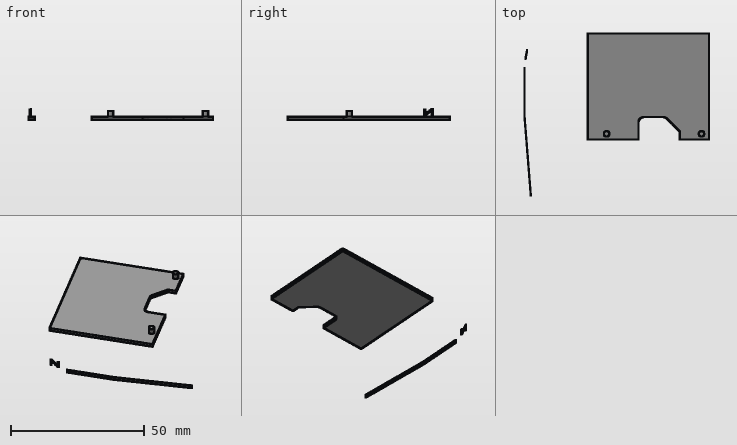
import cadquery as cq
import math

plate_left = 23.7
plate_right = 69.2
plate_front = 20.9
plate_back = 60.75
plate_thickness = 1.25

notch_left = plate_left + 19.1
notch_right = plate_left + 34.5
notch_back = plate_front + 8.45
notch_slope_rise = 5.4
notch_radius = 2.0

peg_diameter = 2.1
peg_height = 2.15
peg_inset_left = 7.1
peg_inset_right = 2.85
peg_inset_front = 2.2

strip_thickness = 0.1
strip_back = 47.75
strip_bend = 29.55
strip_front_offset = 2.4

letter_near_x = 0.4
letter_far_x = 1.05
letter_near_y = 51.1
letter_far_y = 54.45
letter_bottom = 1.65
letter_near_top = 3.9
letter_far_top = 4.1
letter_stroke = 0.5
letter_diagonal_height = 0.5
letter_thickness = 0.1


def make_plate():
    """Plate with a front notch and two pegs, all one solid."""
    corner = notch_radius * (1 - math.sqrt(0.5))
    slope_x = notch_right - notch_slope_rise + corner
    arc_start_x = slope_x - notch_radius * math.sqrt(0.5)
    arc_middle_angle = math.radians(45) / 2
    arc_middle = (
        arc_start_x + notch_radius * math.sin(arc_middle_angle),
        notch_back - notch_radius * (1 - math.cos(arc_middle_angle)),
    )
    plate = (
        cq.Workplane("XY")
        .moveTo(plate_left, plate_front)
        .lineTo(notch_left, plate_front)
        .lineTo(notch_left, notch_back - notch_radius)
        .threePointArc(
            (notch_left + corner, notch_back - corner),
            (notch_left + notch_radius, notch_back),
        )
        .lineTo(arc_start_x, notch_back)
        .threePointArc(arc_middle, (slope_x, notch_back - corner))
        .lineTo(notch_right, notch_back - notch_slope_rise)
        .lineTo(notch_right, plate_front)
        .lineTo(plate_right, plate_front)
        .lineTo(plate_right, plate_back)
        .lineTo(plate_left, plate_back)
        .close()
        .extrude(plate_thickness)
    )
    peg_y = plate_front + peg_inset_front
    pegs = (
        cq.Workplane("XY")
        .pushPoints([(plate_left + peg_inset_left, peg_y), (plate_right - peg_inset_right, peg_y)])
        .circle(peg_diameter / 2)
        .extrude(plate_thickness + peg_height)
    )
    return plate.union(pegs)


def make_strip():
    """Thin upright strip: straight at the back, bent toward +X at the front."""
    return (
        cq.Workplane("XY")
        .moveTo(0, strip_back)
        .lineTo(0, strip_bend)
        .lineTo(strip_front_offset - strip_thickness, 0)
        .lineTo(strip_front_offset, 0)
        .lineTo(strip_thickness, strip_bend)
        .lineTo(strip_thickness, strip_back)
        .close()
        .extrude(plate_thickness)
    )


def make_letter():
    """Upright N, with its face turned slightly away from the YZ plane."""
    run_x = letter_far_x - letter_near_x
    run_y = letter_far_y - letter_near_y
    width = math.hypot(run_x, run_y)
    face = cq.Plane(
        origin=(letter_far_x, letter_far_y, 0),
        xDir=(-run_x, -run_y, 0),
        normal=(-run_y, run_x, 0),
    )
    near_leg = width - letter_stroke
    return (
        cq.Workplane(face)
        .moveTo(0, letter_bottom)
        .lineTo(0, letter_far_top)
        .lineTo(letter_stroke, letter_far_top)
        .lineTo(near_leg, letter_bottom + letter_diagonal_height)
        .lineTo(near_leg, letter_near_top)
        .lineTo(width, letter_near_top)
        .lineTo(width, letter_bottom)
        .lineTo(near_leg, letter_bottom)
        .lineTo(letter_stroke, letter_far_top - letter_diagonal_height)
        .lineTo(letter_stroke, letter_bottom)
        .close()
        .extrude(letter_thickness)
    )


plate = make_plate()
strip = make_strip()
letter = make_letter()
result = cq.Compound.makeCompound([plate.val(), strip.val(), letter.val()])